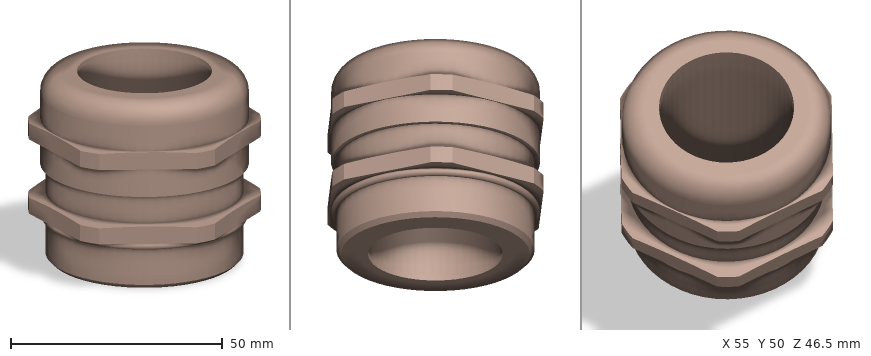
import cadquery as cq
import math

total_height = 46.5
across_corners = 55.0
across_flats = 50.0
bore_diameter = 31.9

thread_diameter = 46.85
thread_chamfer = 1.1

seal_diameter = 49.3
seal_bottom = 10.1

lower_hex_bottom = 11.95
lower_hex_top = 16.5
upper_hex_bottom = 30.5
upper_hex_top = 34.9
hex_cone_angle = 8.0

cap_diameter = 49.4
cap_bottom = 23.55
cap_rounding = 5.05


def cylinder(diameter, bottom, top):
    return cq.Workplane("XY").workplane(offset=bottom).circle(diameter / 2).extrude(top - bottom)


def hexagon(bottom, top, collar_diameter):
    """Hexagon with flats facing Y, turned corners and a top sloping down from the collar above it."""
    sharp_corners = across_flats / math.cos(math.radians(30))
    prism = cq.Workplane("XY").workplane(offset=bottom).polygon(6, sharp_corners).extrude(top - bottom)
    inner_radius = collar_diameter / 2
    outer_radius = across_corners / 2
    cone_drop = (outer_radius - inner_radius) * math.tan(math.radians(hex_cone_angle))
    turned_blank = (
        cq.Workplane("XZ")
        .moveTo(0, bottom)
        .lineTo(outer_radius, bottom)
        .lineTo(outer_radius, top - cone_drop)
        .lineTo(inner_radius, top)
        .lineTo(0, top)
        .close()
        .revolve(360, (0, 0), (0, 1))
    )
    return prism.intersect(turned_blank)


def seal_ring():
    """Disc whose rim is a full half-round."""
    height = lower_hex_bottom - seal_bottom
    rim_start = seal_diameter / 2 - height / 2
    return (
        cq.Workplane("XZ")
        .moveTo(0, seal_bottom)
        .lineTo(rim_start, seal_bottom)
        .threePointArc((seal_diameter / 2, seal_bottom + height / 2), (rim_start, lower_hex_bottom))
        .lineTo(0, lower_hex_bottom)
        .close()
        .revolve(360, (0, 0), (0, 1))
    )


body = cylinder(thread_diameter, 0, cap_bottom).faces("<Z").chamfer(thread_chamfer)
cap = cylinder(cap_diameter, cap_bottom, total_height).faces(">Z").edges().fillet(cap_rounding)

result = (
    body.union(seal_ring())
    .union(hexagon(lower_hex_bottom, lower_hex_top, thread_diameter))
    .union(cap)
    .union(hexagon(upper_hex_bottom, upper_hex_top, cap_diameter))
    .cut(cylinder(bore_diameter, 0, total_height))
)